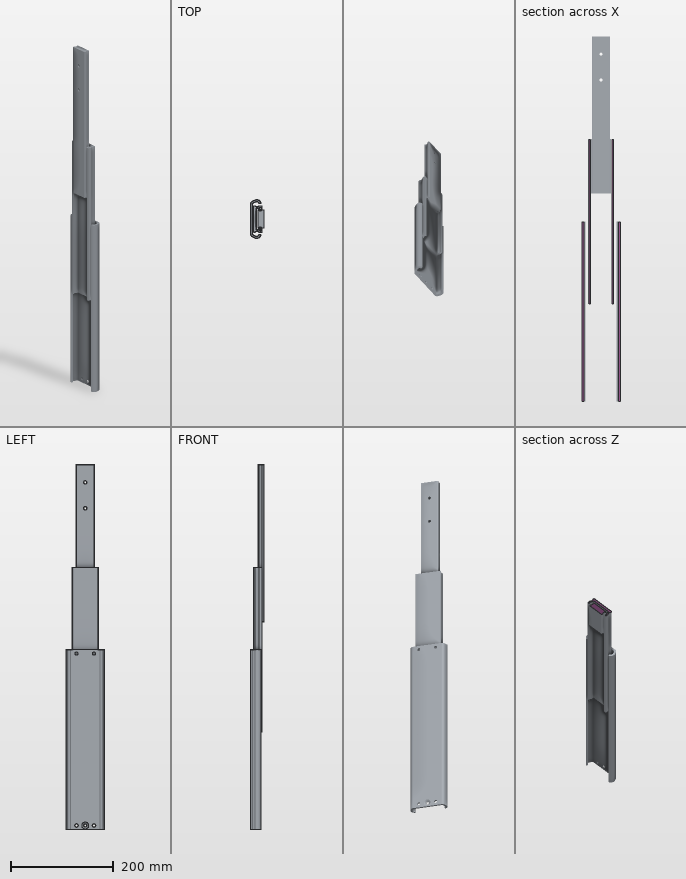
import cadquery as cq
import math


total_length = 710.0
outer_length = 350.0
middle_length = 320.0
inner_length = 306.0
middle_travel = 160.0
middle_top = outer_length + middle_travel
middle_bottom = middle_top - middle_length
inner_bottom = total_length - inner_length

outer_half_width = 37.5
sheet = 4.0
corner_radius = 6.5
rolled_radius = 8.5
rolled_x = 12.0
rolled_y = outer_half_width - rolled_radius
slope_angle = 114.0
rolled_end_angle = 10.0

middle_back = 6.0
middle_front = 23.0
channel_half_width = 20.5
middle_web = 6.0
middle_arm = 5.1
middle_half_width = channel_half_width + middle_arm
middle_corner = 1.5
outer_race_x = 13.0
outer_race_radius = 5.0

inner_back = 14.0
inner_front = 26.0
inner_half_width = 18.0
inner_corner = 1.1

inner_race_x = 19.0
inner_race_radius = 3.2

cage_width = 6.5
cage_thickness = 2.0

fixing_hole = 6.0
fixing_spacing = 34.0
fixing_end_distance = 8.0
sink_outer = 13.5
sink_bore = 6.0
sink_depth = 3.0
inner_hole = 6.0
inner_hole_end_distance = 35.0
inner_hole_pitch = 50.5


def polar(center, radius, angle):
    """Point at an angle, in degrees from +X towards +Y, around a centre."""
    turn = math.radians(angle)
    return center[0] + radius * math.cos(turn), center[1] + radius * math.sin(turn)


def round_bar(x, y, radius, bottom, length):
    """Cylinder along Z."""
    return cq.Workplane("XY", origin=(x, y, bottom)).circle(radius).extrude(length)


def bar(back, front, half_width, bottom, length):
    """Rectangular bar along Z, centred on Y = 0."""
    size = (front - back, 2 * half_width, length)
    return cq.Workplane("XY").box(*size, centered=(False, True, False)).translate((back, 0, bottom))


def cross_hole(y, z, diameter):
    """Cylinder along X, long enough to pass through every rail."""
    return cq.Workplane("YZ", origin=(0, y, z)).circle(diameter / 2).extrude(inner_front)


def make_inner_race(side, bottom, length):
    """Round path of the balls midway between the inner rail and an arm of the middle rail."""
    race_y = (inner_half_width + channel_half_width) / 2
    return round_bar(inner_race_x, side * race_y, inner_race_radius, bottom, length)


def make_outer_rail():
    slope = math.radians(slope_angle)
    rise = rolled_radius - corner_radius - (corner_radius - rolled_x) * math.cos(slope)
    corner = (corner_radius, rolled_y + rise / math.sin(slope))
    rolled = (rolled_x, rolled_y)
    corner_middle = (180 + slope_angle) / 2
    rolled_middle = (slope_angle + rolled_end_angle) / 2
    corner_inside = corner_radius - sheet
    rolled_inside = rolled_radius - sheet
    half = (
        cq.Workplane("XY")
        .lineTo(*polar(corner, corner_radius, 180))
        .threePointArc(polar(corner, corner_radius, corner_middle), polar(corner, corner_radius, slope_angle))
        .lineTo(*polar(rolled, rolled_radius, slope_angle))
        .threePointArc(
            polar(rolled, rolled_radius, rolled_middle), polar(rolled, rolled_radius, rolled_end_angle)
        )
        .lineTo(*polar(rolled, rolled_inside, rolled_end_angle))
        .threePointArc(
            polar(rolled, rolled_inside, rolled_middle), polar(rolled, rolled_inside, slope_angle)
        )
        .lineTo(*polar(corner, corner_inside, slope_angle))
        .threePointArc(polar(corner, corner_inside, corner_middle), polar(corner, corner_inside, 180))
        .lineTo(sheet, 0)
        .close()
        .extrude(outer_length)
    )
    rail = half.union(half.mirror("XZ")).clean()
    for y in (-fixing_spacing / 2, fixing_spacing / 2):
        for z in (fixing_end_distance, outer_length - fixing_end_distance):
            rail = rail.cut(cross_hole(y, z, fixing_hole))
    countersink = cq.Solid.makeCone(
        sink_outer / 2, sink_bore / 2, sink_depth, cq.Vector(0, 0, fixing_end_distance), cq.Vector(1, 0, 0)
    )
    return rail.cut(cross_hole(0, fixing_end_distance, sink_bore)).cut(cq.Workplane(countersink))


def make_middle_rail():
    rail = bar(middle_back, middle_front, middle_half_width, middle_bottom, middle_length)
    rail = rail.edges("|Z and <X").fillet(middle_corner)
    rail = rail.cut(
        bar(middle_back + middle_web, middle_front, channel_half_width, middle_bottom, middle_length)
    )
    for side in (-1, 1):
        outer_race = round_bar(
            outer_race_x, side * rolled_y, outer_race_radius, middle_bottom, middle_length
        )
        rail = rail.cut(outer_race).cut(make_inner_race(side, middle_bottom, middle_length))
    return rail


def make_inner_rail():
    rail = bar(inner_back, inner_front, inner_half_width, inner_bottom, inner_length)
    rail = rail.edges("|Z").fillet(inner_corner)
    for side in (-1, 1):
        rail = rail.cut(make_inner_race(side, inner_bottom, inner_length))
    top_hole = total_length - inner_hole_end_distance
    for z in (top_hole, top_hole - inner_hole_pitch):
        rail = rail.cut(cross_hole(0, z, inner_hole))
    return rail


def make_cage(side):
    """Strip along the overlap of the middle and inner rails, resting on the inner rail's flank."""
    size = (cage_width, cage_thickness, middle_top - inner_bottom)
    center_y = side * (inner_half_width + cage_thickness / 2)
    strip = cq.Workplane("XY").box(*size, centered=(True, True, False))
    return strip.translate((inner_race_x, center_y, inner_bottom))


outer_rail = make_outer_rail()
middle_rail = make_middle_rail()
inner_rail = make_inner_rail()
cages = [make_cage(side) for side in (-1, 1)]

result = cq.Compound.makeCompound(
    [outer_rail.val(), middle_rail.val(), inner_rail.val(), *[cage.val() for cage in cages]]
)